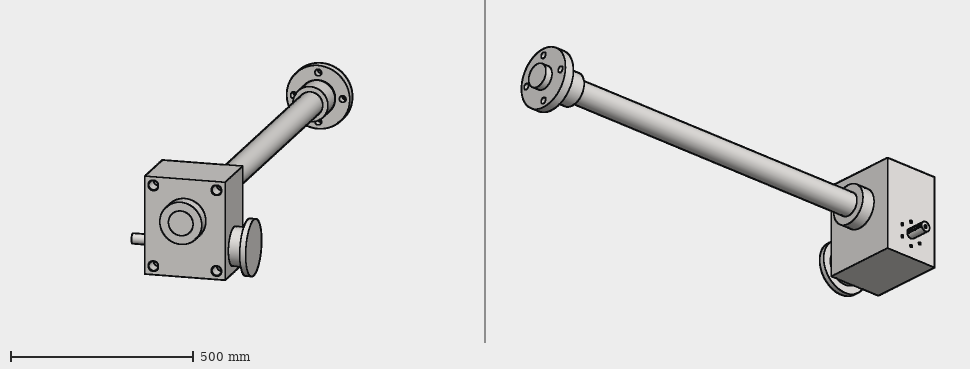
import cadquery as cq
import math


block_width = 230.0
block_depth = 175.0
block_height = 280.0
spindle_to_top = block_width / 2
boss_diameter = 120.0
boss_length = 41.0

mount_hole_diameter = 27.0
mount_mouth_diameter = 30.0
mount_hole_depth = 50.0
mount_spacing_x = 180.0
mount_spacing_z = 230.0

cover_hole_diameter = 6.6
cover_mouth_diameter = 8.3
cover_hole_depth = 17.0
cover_hole_circle = 75.0
cover_hole_count = 6

drill_point_angle = 118.0

motor_neck_diameter = 110.0
motor_neck_length = 40.0
motor_flange_diameter = 160.0
motor_flange_thickness = 17.0

worm_drop = 90.0
worm_diameter = 30.0
worm_projection = 59.0
worm_seat_depth = 56.0
center_hole_diameter = 6.6
center_mouth_diameter = 9.0
center_hole_depth = 21.0

key_width = 8.0
key_height = 7.0
key_projection = 3.0
key_end_gap = 5.0

spindle_diameter = 70.0
spindle_length = 1411.0
spindle_groove_diameter = 60.0
spindle_groove_width = 5.0
spindle_head_length = 5.0

nut_diameter = 100.0
nut_length = 106.0
nut_flange_diameter = 180.0
nut_flange_thickness = 30.0
nut_groove_width = 4.0
nut_groove_diameter = 99.0
nut_hole_diameter = 18.0
nut_hole_circle = 140.0
nut_hole_count = 4
spindle_overrun = 23.0

block_front = -block_depth / 2
block_left = -block_width / 2
block_right = block_width / 2
block_center_z = spindle_to_top - block_height / 2
worm_tip = block_left - worm_projection
spindle_front = block_front - boss_length
nut_back = spindle_front + spindle_length - spindle_overrun
nut_front = nut_back - nut_length
nut_flange_front = nut_back - nut_flange_thickness

X_AXIS = cq.Vector(1, 0, 0)
Y_AXIS = cq.Vector(0, 1, 0)


def cylinder_y(diameter, y_start, length, x=0.0, z=0.0):
    """Cylinder along +Y, on the spindle axis unless placed elsewhere."""
    return cq.Workplane(cq.Solid.makeCylinder(diameter / 2, length, cq.Vector(x, y_start, z), Y_AXIS))


def cylinder_x(diameter, x_start, length):
    """Cylinder along +X on the worm axis."""
    start = cq.Vector(x_start, 0, -worm_drop)
    return cq.Workplane(cq.Solid.makeCylinder(diameter / 2, length, start, X_AXIS))


def ring_y(outer_diameter, inner_diameter, y_start, length):
    """Flat ring around the spindle axis, used to cut a groove into a round body."""
    outer = cylinder_y(outer_diameter, y_start, length)
    return outer.cut(cylinder_y(inner_diameter, y_start, length))


def blind_hole(diameter, mouth_diameter, depth, start, axis):
    """Drilled hole with a 45 degree countersunk mouth and a drill point."""
    radius = diameter / 2
    mouth_radius = mouth_diameter / 2
    point_length = radius / math.tan(math.radians(drill_point_angle / 2))
    bore = cq.Solid.makeCylinder(radius, depth, start, axis)
    mouth = cq.Solid.makeCone(mouth_radius, radius, mouth_radius - radius, start, axis)
    point = cq.Solid.makeCone(radius, 0, point_length, start + axis * depth, axis)
    return cq.Workplane(bore).union(cq.Workplane(mouth)).union(cq.Workplane(point))


def circle_places(circle_diameter, count):
    """Evenly spaced points on a circle, the first one straight up."""
    for i in range(count):
        angle = math.radians(90 + i * 360 / count)
        yield circle_diameter / 2 * math.cos(angle), circle_diameter / 2 * math.sin(angle)


def make_housing():
    housing = cq.Workplane().box(block_width, block_depth, block_height)
    housing = housing.translate((0, 0, block_center_z))

    boss_span = block_depth + 2 * boss_length
    housing = housing.union(cylinder_y(boss_diameter, spindle_front, boss_span))
    housing = housing.union(cylinder_x(motor_neck_diameter, block_right, motor_neck_length))
    flange_start = block_right + motor_neck_length
    housing = housing.union(cylinder_x(motor_flange_diameter, flange_start, motor_flange_thickness))

    housing = housing.cut(cylinder_y(spindle_diameter, spindle_front, boss_span))
    housing = housing.cut(cylinder_x(worm_diameter, block_left, worm_seat_depth))

    for x in (-mount_spacing_x / 2, mount_spacing_x / 2):
        for z in (-mount_spacing_z / 2, mount_spacing_z / 2):
            start = cq.Vector(x, block_front, block_center_z + z)
            hole = blind_hole(mount_hole_diameter, mount_mouth_diameter, mount_hole_depth, start, Y_AXIS)
            housing = housing.cut(hole)

    for y, z in circle_places(cover_hole_circle, cover_hole_count):
        start = cq.Vector(block_left, y, z - worm_drop)
        hole = blind_hole(cover_hole_diameter, cover_mouth_diameter, cover_hole_depth, start, X_AXIS)
        housing = housing.cut(hole)
    return housing


def make_key():
    """Straight key, partly sunk into the exposed length of the worm shaft."""
    key = cq.Workplane().box(worm_projection - 2 * key_end_gap, key_height, key_width)
    center_x = block_left - worm_projection / 2
    center_y = worm_diameter / 2 + key_projection - key_height / 2
    return key.translate((center_x, center_y, -worm_drop))


def make_worm_shaft():
    shaft = cylinder_x(worm_diameter, worm_tip, worm_projection + worm_seat_depth)
    start = cq.Vector(worm_tip, 0, -worm_drop)
    hole = blind_hole(center_hole_diameter, center_mouth_diameter, center_hole_depth, start, X_AXIS)
    return shaft.cut(hole).cut(make_key())


def make_spindle():
    spindle = cylinder_y(spindle_diameter, spindle_front, spindle_length)
    groove_start = spindle_front + spindle_head_length
    return spindle.cut(ring_y(spindle_diameter, spindle_groove_diameter, groove_start, spindle_groove_width))


def make_nut():
    nut = cylinder_y(nut_diameter, nut_front, nut_length)
    nut = nut.union(cylinder_y(nut_flange_diameter, nut_flange_front, nut_flange_thickness))
    for x, z in circle_places(nut_hole_circle, nut_hole_count):
        nut = nut.cut(cylinder_y(nut_hole_diameter, nut_flange_front, nut_flange_thickness, x, z))
    groove_start = nut_flange_front - nut_groove_width
    nut = nut.cut(ring_y(nut_diameter, nut_groove_diameter, groove_start, nut_groove_width))
    return nut.cut(cylinder_y(spindle_diameter, nut_front, nut_length))


housing = make_housing()
worm_shaft = make_worm_shaft()
key = make_key()
spindle = make_spindle()
nut = make_nut()

bodies = [housing, worm_shaft, key, spindle, nut]
result = cq.Compound.makeCompound([body.solids().val() for body in bodies])